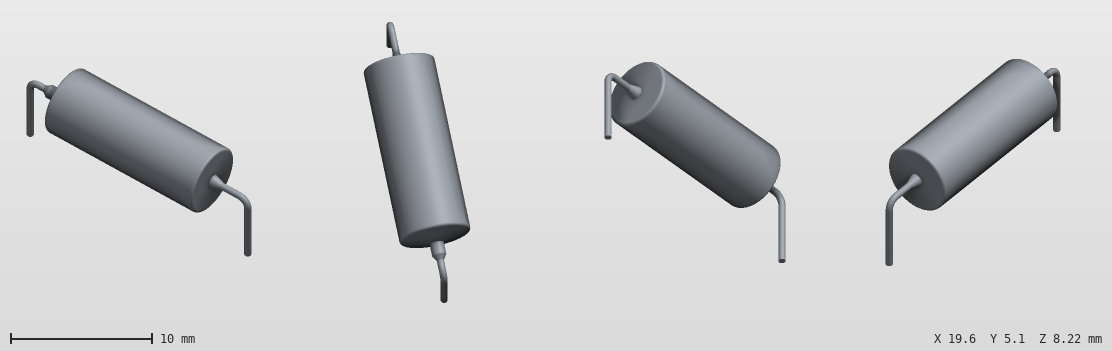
import cadquery as cq

overall_length = 19.56
lead_diameter = 0.5
lead_radius = lead_diameter / 2
lead_x = overall_length / 2 - lead_radius
bend_radius = 0.76

can_diameter = 5.1
can_radius = can_diameter / 2
can_left = -6.95
cone_length = 0.53
can_right = 6.45
can_edge_fillet = 0.2

overall_height = 8.22
lead_foot_z = can_radius - overall_height

sleeve_radius = 0.5
sleeve_left = -7.82
left_solder_length = 0.4
right_solder_length = 0.85


def make_can():
    """Cylinder with a conical left end and rounded rims."""
    cone_base = can_left + cone_length
    profile = (
        cq.Workplane("XY")
        .moveTo(can_left, 0)
        .lineTo(can_left, sleeve_radius)
        .lineTo(cone_base, can_radius)
        .lineTo(can_right, can_radius)
        .lineTo(can_right, 0)
        .close()
    )
    can = profile.revolve(360, (0, 0, 0), (1, 0, 0))
    rims = cq.selectors.RadiusNthSelector(-1)
    return can.edges("%CIRCLE").edges(rims).fillet(can_edge_fillet)


def make_sleeve():
    """Tube around the left lead, against the small end of the cone."""
    sleeve_length = can_left - sleeve_left
    return (
        cq.Workplane("YZ", origin=(sleeve_left, 0, 0))
        .circle(sleeve_radius)
        .circle(lead_radius)
        .extrude(sleeve_length)
    )


def make_solder_taper(wide_x, narrow_x):
    """Cone of solder that narrows from the sleeve radius to the lead's surface."""
    return (
        cq.Workplane("XY")
        .moveTo(wide_x, lead_radius)
        .lineTo(wide_x, sleeve_radius)
        .lineTo(narrow_x, lead_radius)
        .close()
        .revolve(360, (0, 0, 0), (1, 0, 0))
    )


def make_lead(side, can_end):
    """Round wire from the can's end face, bent down to its foot; side is -1 left or +1 right."""
    leg_x = side * lead_x
    bend_start_x = leg_x - side * bend_radius
    path = (
        cq.Workplane("XZ")
        .moveTo(leg_x, lead_foot_z)
        .lineTo(leg_x, -bend_radius)
        .tangentArcPoint((bend_start_x, 0), relative=False)
        .lineTo(can_end, 0)
    )
    foot = cq.Workplane("XY", origin=(leg_x, 0, lead_foot_z)).circle(lead_radius)
    return foot.sweep(path)


can = make_can()
sleeve = make_sleeve()
solder_tapers = [
    make_solder_taper(sleeve_left, sleeve_left - left_solder_length),
    make_solder_taper(can_right, can_right + right_solder_length),
]
leads = [make_lead(side, can_end) for side, can_end in ((-1, can_left), (1, can_right))]

result = cq.Compound.makeCompound(
    [
        can.val(),
        sleeve.val(),
        *[taper.val() for taper in solder_tapers],
        *[lead.val() for lead in leads],
    ]
)